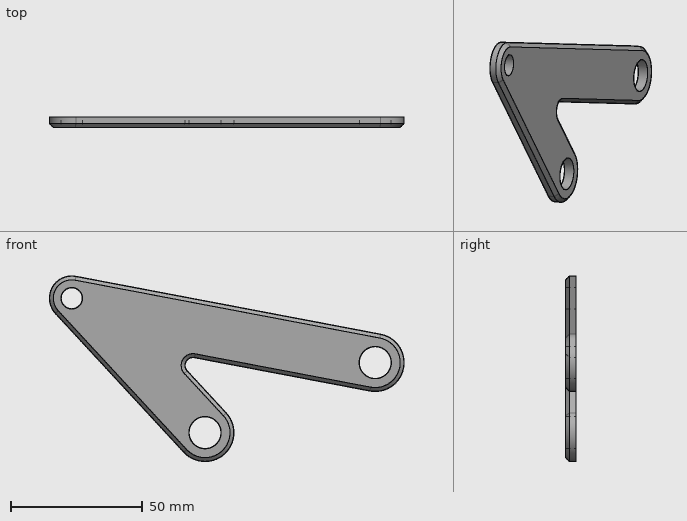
import cadquery as cq
import math

thickness = 4.0
chamfer_size = 1.5

pivot_center = cq.Vector(0, 0)
pivot_radius = 8.5
pivot_hole_diameter = 8.0

eye_radius = 11.0
eye_hole_diameter = 12.1
long_arm_center = cq.Vector(115.41, -24.47)
short_arm_center = cq.Vector(50.69, -51.11)

notch_radius = 3.0


def arm_directions(eye_center, outer_side):
    """Unit vectors along an arm and out of its outer edge.

    The outer edge is tangent to the pivot eye and to the arm's eye.
    outer_side is +1 if that edge lies to the left of the arm, -1 if to the right.
    """
    span = eye_center - pivot_center
    flare = math.asin((eye_radius - pivot_radius) / span.Length)
    angle = math.atan2(span.y, span.x) + outer_side * flare
    along = cq.Vector(math.cos(angle), math.sin(angle))
    outward = cq.Vector(-along.y, along.x) * outer_side
    return along, outward


def flat(point):
    """Plate-plane coordinates of a vector."""
    return (point.x, point.y)


def line_crossing(start_a, direction_a, start_b, direction_b):
    """Point where two lines in the plate plane cross."""
    gap = start_b - start_a
    distance = gap.cross(direction_b).z / direction_a.cross(direction_b).z
    return start_a + direction_a * distance


def make_plate():
    """V-shaped plate, each arm having parallel edges."""
    long_along, long_out = arm_directions(long_arm_center, 1)
    short_along, short_out = arm_directions(short_arm_center, -1)

    long_inner_end = long_arm_center - long_out * eye_radius
    short_inner_end = short_arm_center - short_out * eye_radius
    notch_corner = line_crossing(long_inner_end, long_along, short_inner_end, short_along)
    pivot_tip = pivot_center + (long_out + short_out).normalized() * pivot_radius

    plate = (
        cq.Workplane("XZ")
        .moveTo(*flat(pivot_center + long_out * pivot_radius))
        .lineTo(*flat(long_arm_center + long_out * eye_radius))
        .threePointArc(flat(long_arm_center + long_along * eye_radius), flat(long_inner_end))
        .lineTo(*flat(notch_corner))
        .lineTo(*flat(short_inner_end))
        .threePointArc(
            flat(short_arm_center + short_along * eye_radius),
            flat(short_arm_center + short_out * eye_radius),
        )
        .lineTo(*flat(pivot_center + short_out * pivot_radius))
        .threePointArc(flat(pivot_tip), flat(pivot_center + long_out * pivot_radius))
        .close()
        .extrude(-thickness)
    )
    notch_middle = (notch_corner.x, thickness / 2, notch_corner.y)
    notch_edge = cq.selectors.NearestToPointSelector(notch_middle)
    return plate.edges(notch_edge).fillet(notch_radius)


def chamfer_front(plate):
    """Bevel the whole outline on the -Y face."""
    return plate.faces("<Y").edges().chamfer(chamfer_size)


def cut_hole(plate, center, diameter):
    """Plain hole through the plate thickness."""
    cutter = cq.Workplane("XZ").moveTo(*flat(center)).circle(diameter / 2).extrude(-thickness)
    return plate.cut(cutter)


result = chamfer_front(make_plate())
result = cut_hole(result, pivot_center, pivot_hole_diameter)
for eye_center in (long_arm_center, short_arm_center):
    result = cut_hole(result, eye_center, eye_hole_diameter)